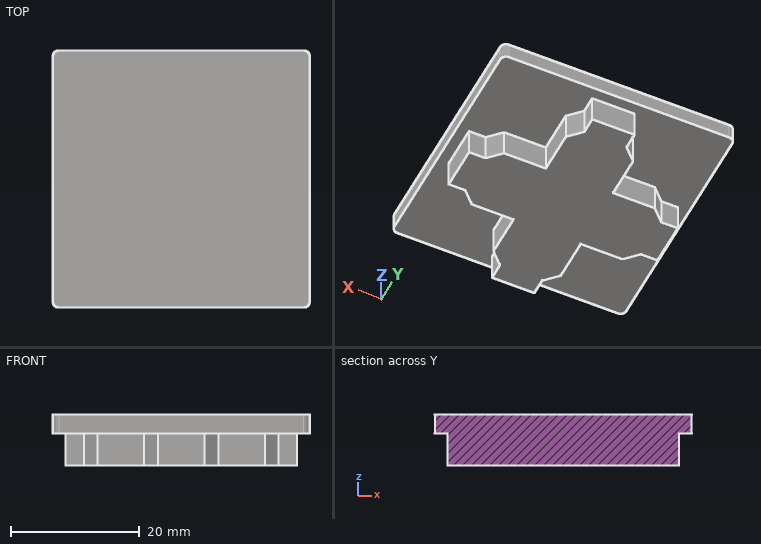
import cadquery as cq

plate_side = 40.0
plate_thickness = 3.0
plate_corner_radius = 1.0

plug_depth = 5.0
plug_span = 36.0
tip_width = 7.3
arm_width = 11.6
shoulder_start = 13.0

tip_reach = plug_span / 2
tip_half = tip_width / 2
arm_half = arm_width / 2
shoulder_end = shoulder_start + (arm_half - tip_half)


def make_plate():
    """Plate with its underside at Z = 0 and rounded vertical corners."""
    plate = cq.Workplane("XY").box(
        plate_side, plate_side, plate_thickness, centered=(True, True, False)
    )
    return plate.edges("|Z").fillet(plate_corner_radius)


def make_bar():
    """Two opposite arms along X, hanging below the plate as one bar."""
    quarter = (
        cq.Sketch()
        .polygon(
            [
                (0, 0),
                (tip_reach, 0),
                (tip_reach, tip_half),
                (shoulder_end, tip_half),
                (shoulder_start, arm_half),
                (0, arm_half),
                (0, 0),
            ]
        )
    )
    quarter_bar = cq.Workplane("XY").placeSketch(quarter).extrude(-plug_depth)
    half_bar = quarter_bar.union(quarter_bar.mirror("XZ"))
    return half_bar.union(half_bar.mirror("YZ"))


def make_plug():
    """Cross formed by two bars at right angles."""
    bar = make_bar()
    crossing_bar = bar.rotate((0, 0, 0), (0, 0, 1), 90)
    return bar.union(crossing_bar)


result = make_plate().union(make_plug()).clean()